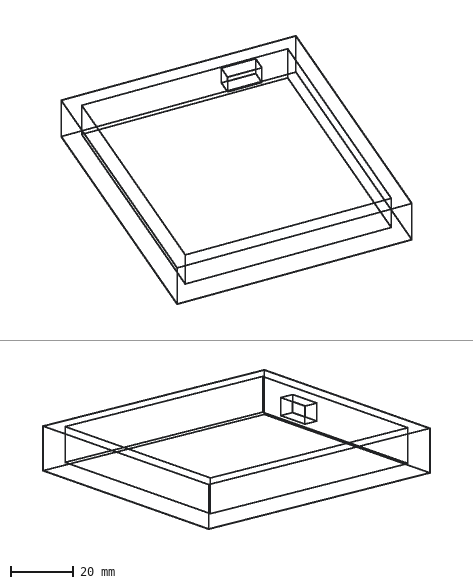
import cadquery as cq

length = 93.0
width = 82.0
height = 15.0
wall = 5.0
floor = 3.0

port_width = 12.0
port_height = 6.0
port_sill = 4.0
port_setback = 14.0


def block(size_x, size_y, size_z):
    """Box centred on X and Y with its base on Z = 0."""
    return cq.Workplane("XY").box(size_x, size_y, size_z, centered=(True, True, False))


def make_tray():
    pocket = block(length - 2 * wall, width - 2 * wall, height - floor)
    return block(length, width, height).cut(pocket.translate((0, 0, floor)))


def make_port():
    center_x = (wall - length) / 2
    center_y = width / 2 - port_setback - port_width / 2
    return block(wall, port_width, port_height).translate((center_x, center_y, port_sill))


result = make_tray().cut(make_port())